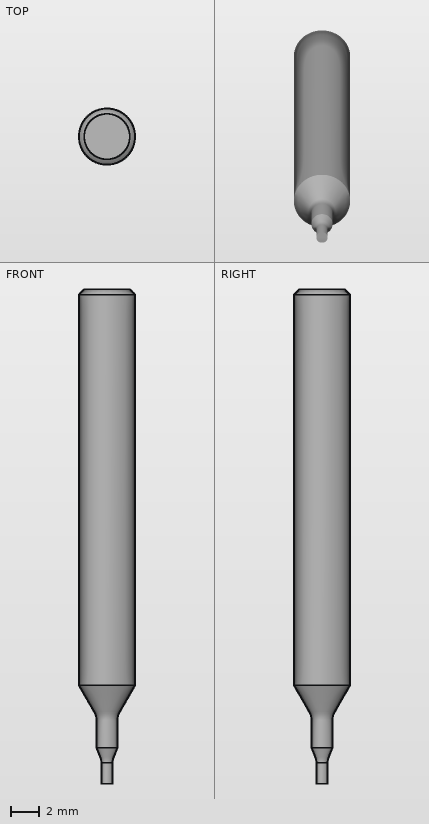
import cadquery as cq
import math

shank_diameter = 4.0
collar_diameter = 1.5
tip_diameter = 0.8

total_length = 35.0
tip_length = 1.5
collar_top = 4.55

top_chamfer = 0.4
upper_taper_angle = math.radians(30.0)
upper_blend_radius = 1.05
lower_taper_angle = math.radians(22.0)
lower_blend_radius = 1.0

shank_radius = shank_diameter / 2
collar_radius = collar_diameter / 2
tip_radius = tip_diameter / 2


def add_blended_taper(profile, start_radius, start_height, end_radius, blend_radius, angle):
    """Continue a profile from a vertical wall through a tangent concave arc and a cone up to end_radius."""

    def blend_point(turn):
        return (
            start_radius + blend_radius * (1 - math.cos(turn)),
            start_height + blend_radius * math.sin(turn),
        )

    blend_end = blend_point(angle)
    cone_height = (end_radius - blend_end[0]) / math.tan(angle)
    return profile.threePointArc(blend_point(angle / 2), blend_end).lineTo(
        end_radius, blend_end[1] + cone_height
    )


def make_shank():
    """Round shank that narrows through a collar to the seat of the tip."""
    profile = cq.Workplane("XZ").moveTo(0, tip_length).lineTo(tip_radius, tip_length)
    profile = add_blended_taper(
        profile, tip_radius, tip_length, collar_radius, lower_blend_radius, lower_taper_angle
    )
    profile = profile.lineTo(collar_radius, collar_top)
    profile = add_blended_taper(
        profile, collar_radius, collar_top, shank_radius, upper_blend_radius, upper_taper_angle
    )
    profile = (
        profile.lineTo(shank_radius, total_length - top_chamfer)
        .lineTo(shank_radius - top_chamfer, total_length)
        .lineTo(0, total_length)
        .close()
    )
    return profile.revolve(360, (0, 0, 0), (0, 1, 0))


def make_tip():
    """Plain cylindrical tip that butts against the lower end of the shank."""
    return cq.Workplane("XY").circle(tip_radius).extrude(tip_length)


shank = make_shank()
tip = make_tip()

result = cq.Compound.makeCompound([shank.val(), tip.val()])